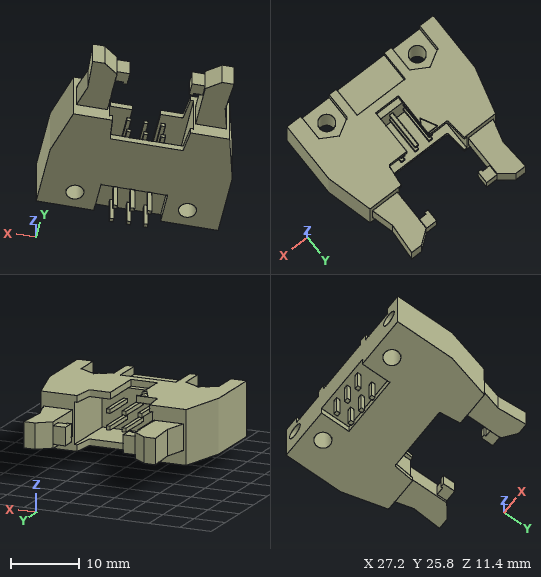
import cadquery as cq
import math


body_width = 27.2
body_height = 8.55
mid_height = body_height / 2
side_length = 9.93
arm_end_y = 17.27
arm_tip_outer_x = 11.67
arm_tip_inner_x = 5.82
arm_root_inner_x = 5.45
mouth_y = 13.75
arm_root_radius = 0.22

wall = 1.03
cavity_half_width = 6.28
cavity_floor_y = 7.37
key_slot_width = 4.2
key_slot_end_y = 6.4

pin_size = 0.63
pin_pitch = 2.55
pin_columns = (-pin_pitch, 0, pin_pitch)
pin_rows = (-pin_pitch / 2, pin_pitch / 2)
contact_tip_y = 13.46
tail_first_y = 1.03
tail_length = 2.85
pin_embed = 0.55

hole_diameter = 2.6
mount_x = 8.4
mount_y = 2.83
nut_flats = 5.25
nut_depth = 1.7
front_hole_x = 11.45
front_hole_z = 4.5
front_hole_depth = 5.45

label_width = 8.9
label_length = 5.0
label_depth = 1.2
tail_recess_width = 9.95
tail_recess_depth = 1.5
marker_left_x = -3.84
marker_base_y = 13.46
marker_tip_x = -2.53
marker_tip_y = 11.0
marker_depth = 0.33

latch_height = 4.05
latch_tip_y = 25.75
latch_inner_x = 6.58
latch_waist_x = 10.25
latch_waist_y = 20.84
latch_root_x = 11.2
latch_tip_outer_x = 10.58
latch_tip_inner_x = 8.75
hook_height = 2.83
hook_top_y = 24.1
hook_bottom_y = 22.33
hook_reach_x = 4.62
hook_tooth_width = 0.65
hook_tooth_drop = 0.33


def box(x_range, y_range, z_range):
    """Axis-aligned box given by its limits along each axis."""
    (x0, x1), (y0, y1), (z0, z1) = x_range, y_range, z_range
    return cq.Workplane("XY").box(x1 - x0, y1 - y0, z1 - z0, centered=False).translate((x0, y0, z0))


def plate(points, bottom_z, height):
    """Outline in plan, extruded upward from bottom_z."""
    return cq.Workplane("XY").workplane(offset=bottom_z).polyline(points).close().extrude(height)


def both_sides(half):
    """A shape together with its mirror image across x = 0."""
    return half.union(half.mirror("YZ"))


def centred(width):
    return (-width / 2, width / 2)


def make_housing():
    right_side = [
        (body_width / 2, 0),
        (body_width / 2, side_length),
        (arm_tip_outer_x, arm_end_y),
        (arm_tip_inner_x, arm_end_y),
        (arm_root_inner_x, mouth_y),
    ]
    left_side = [(-x, y) for x, y in reversed(right_side)]
    housing = plate(right_side + left_side, 0, body_height)
    root_edges = cq.selectors.BoxSelector(
        (-arm_root_inner_x - 0.27, mouth_y - 0.27, 0),
        (arm_root_inner_x + 0.27, mouth_y + 0.27, body_height),
    )
    return housing.edges("|Z").edges(root_edges).fillet(arm_root_radius)


def make_cavity():
    pocket = box(
        centred(2 * cavity_half_width),
        (cavity_floor_y, arm_end_y),
        (wall, body_height - wall),
    )
    key_slot = box(centred(key_slot_width), (key_slot_end_y, mouth_y), (body_height - wall, body_height))
    return pocket.union(key_slot)


def make_mounting_cut():
    """Vertical hole with a nut trap open to the front, and the horizontal hole beside it."""
    half_flats = nut_flats / 2
    shoulder_y = mount_y + half_flats * math.tan(math.radians(30))
    point_y = mount_y + half_flats / math.cos(math.radians(30))
    nut_trap = plate(
        [
            (mount_x - half_flats, 0),
            (mount_x + half_flats, 0),
            (mount_x + half_flats, shoulder_y),
            (mount_x, point_y),
            (mount_x - half_flats, shoulder_y),
        ],
        body_height - nut_depth,
        nut_depth,
    )
    screw_hole = cq.Workplane("XY").center(mount_x, mount_y).circle(hole_diameter / 2).extrude(body_height)
    front_hole = (
        cq.Workplane("XZ")
        .center(front_hole_x, front_hole_z)
        .circle(hole_diameter / 2)
        .extrude(-front_hole_depth)
    )
    return both_sides(nut_trap.union(screw_hole).union(front_hole))


def make_recesses():
    label = box(centred(label_width), (0, label_length), (body_height - label_depth, body_height))
    tail_recess = box(centred(tail_recess_width), (0, label_length), (0, tail_recess_depth))
    marker = plate(
        [
            (marker_left_x, marker_base_y),
            (marker_tip_x, marker_tip_y),
            (2 * marker_tip_x - marker_left_x, marker_base_y),
        ],
        body_height - marker_depth,
        marker_depth,
    )
    return label.union(tail_recess).union(marker)


def make_latches():
    lever = plate(
        [
            (latch_inner_x, arm_end_y),
            (latch_root_x, arm_end_y),
            (latch_waist_x, latch_waist_y),
            (latch_tip_outer_x, latch_tip_y),
            (latch_tip_inner_x, latch_tip_y),
            (latch_inner_x, hook_top_y),
        ],
        mid_height - latch_height / 2,
        latch_height,
    )
    tooth_x = hook_reach_x + hook_tooth_width
    tooth_y = hook_bottom_y - hook_tooth_drop
    hook = plate(
        [
            (latch_inner_x, hook_top_y),
            (hook_reach_x, hook_top_y),
            (hook_reach_x, tooth_y),
            (tooth_x, tooth_y),
            (tooth_x, hook_bottom_y),
            (latch_inner_x, hook_bottom_y),
        ],
        mid_height - hook_height / 2,
        hook_height,
    )
    return both_sides(lever.union(hook))


def make_pins():
    """Straight contacts in the cavity and solder tails below the housing."""
    contacts = (
        cq.Workplane("XZ", origin=(0, cavity_floor_y - pin_embed, mid_height))
        .pushPoints([(x, z) for x in pin_columns for z in pin_rows])
        .rect(pin_size, pin_size)
        .extrude(-(contact_tip_y - cavity_floor_y + pin_embed))
    )
    tails = (
        cq.Workplane("XY", origin=(0, 0, -tail_length))
        .pushPoints([(x, tail_first_y + row * pin_pitch) for x in pin_columns for row in range(2)])
        .rect(pin_size, pin_size)
        .extrude(tail_length + tail_recess_depth + pin_embed)
    )
    return contacts.union(tails)


result = (
    make_housing()
    .cut(make_cavity())
    .cut(make_mounting_cut())
    .cut(make_recesses())
    .union(make_latches())
    .union(make_pins())
)